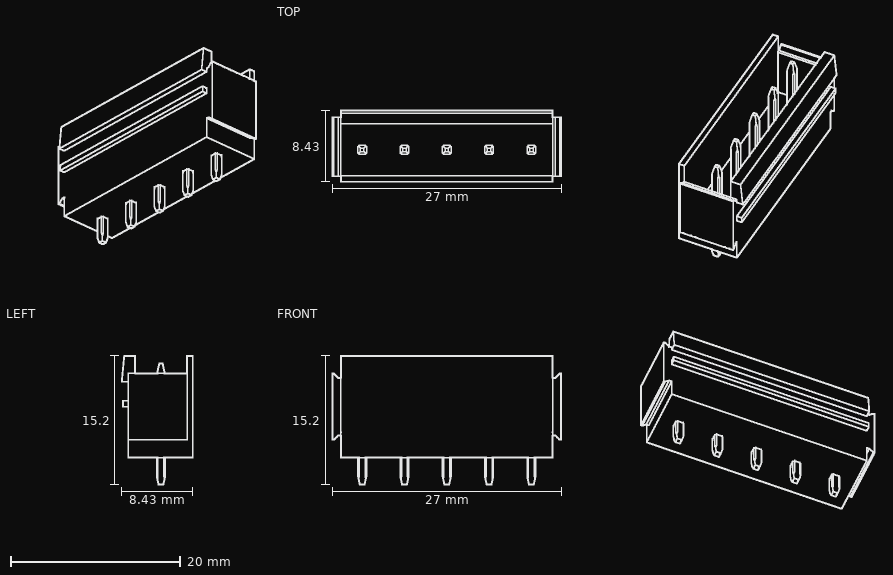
import cadquery as cq

overall_length = 27.0
housing_height = 12.02
front_to_back = 7.65

end_wall_thickness = 1.0
trough_length = overall_length - 2 * end_wall_thickness
front_face_y = -3.78
back_face_y = front_face_y + front_to_back
front_wall_thickness = 0.73
back_wall_thickness = 0.8
floor_height = 3.0

catch_depth = 0.78
catch_top_depth = 0.49
catch_height = 3.08

rib_depth = 0.65
rib_thickness = 0.73
rib_bottom_z = 6.0

end_wall_length = 7.0
end_wall_margin = 2.08
dovetail_lip = 0.15
dovetail_slope = 0.5

pin_count = 5
pin_pitch = 5.0
pin_width = 1.03
pin_edge_bevel = 0.15
pin_tail = 3.19
pin_top_z = 11.12
top_tip_length = 1.4
top_tip_width = 0.4
tail_tip_length = 1.0
tail_tip_width = 0.6


def make_trough():
    """Floor, walls, catch and rib as one constant section along X."""
    front_inner_y = front_face_y + front_wall_thickness
    back_inner_y = back_face_y - back_wall_thickness
    catch_bottom_z = housing_height - catch_height
    rib_top_z = rib_bottom_z + rib_thickness
    section = [
        (front_face_y, 0),
        (back_face_y, 0),
        (back_face_y, rib_bottom_z),
        (back_face_y + rib_depth, rib_bottom_z),
        (back_face_y + rib_depth, rib_top_z),
        (back_face_y, rib_top_z),
        (back_face_y, catch_bottom_z),
        (back_face_y + catch_depth, catch_bottom_z),
        (back_face_y + catch_top_depth, housing_height),
        (back_inner_y, housing_height),
        (back_inner_y, floor_height),
        (front_inner_y, floor_height),
        (front_inner_y, housing_height),
        (front_face_y, housing_height),
    ]
    return cq.Workplane("YZ").polyline(section).close().extrude(trough_length / 2, both=True)


def make_end_wall(side):
    """Dovetail wall closing one end of the trough; side is -1 or +1 along X."""
    inner_x = side * trough_length / 2
    outer_x = side * overall_length / 2
    lip_x = outer_x - side * dovetail_lip
    neck_x = lip_x - side * dovetail_slope
    lip_bottom_z = end_wall_margin
    lip_top_z = housing_height - end_wall_margin
    neck_bottom_z = lip_bottom_z + dovetail_slope
    neck_top_z = lip_top_z - dovetail_slope
    profile = [
        (inner_x, neck_bottom_z),
        (neck_x, neck_bottom_z),
        (lip_x, lip_bottom_z),
        (outer_x, lip_bottom_z),
        (outer_x, lip_top_z),
        (lip_x, lip_top_z),
        (neck_x, neck_top_z),
        (inner_x, neck_top_z),
    ]
    back_plane = cq.Workplane("XZ", origin=(0, back_face_y, 0))
    return back_plane.polyline(profile).close().extrude(end_wall_length)


def make_tip(base_z, end_z, end_width):
    """Pyramid tapering from the full pin width at base_z to end_width at end_z."""
    return (
        cq.Workplane("XY", origin=(0, 0, base_z))
        .rect(pin_width, pin_width)
        .workplane(offset=end_z - base_z)
        .rect(end_width, end_width)
        .loft()
    )


def make_pin(x):
    """One pin, with its axis at the given X."""
    tail_base_z = tail_tip_length - pin_tail
    top_base_z = pin_top_z - top_tip_length
    shank = (
        cq.Workplane("XY", origin=(0, 0, tail_base_z))
        .rect(pin_width, pin_width)
        .extrude(top_base_z - tail_base_z)
    )
    top_tip = make_tip(top_base_z, pin_top_z, top_tip_width)
    tail_tip = make_tip(tail_base_z, -pin_tail, tail_tip_width)
    bevelled_bar = (
        cq.Workplane("XY", origin=(0, 0, -pin_tail))
        .rect(pin_width, pin_width)
        .extrude(pin_top_z + pin_tail)
        .edges("|Z")
        .chamfer(pin_edge_bevel)
    )
    pin = shank.union(top_tip).union(tail_tip).intersect(bevelled_bar)
    return pin.translate((x, 0, 0))


pins = []
for index in range(pin_count):
    pin_x = (index - (pin_count - 1) / 2) * pin_pitch
    pins.append(make_pin(pin_x))

housing = make_trough()
for end_side in (-1, 1):
    housing = housing.union(make_end_wall(end_side))
for pin in pins:
    housing = housing.cut(pin)

result = cq.Compound.makeCompound([housing.solids().val(), *[pin.solids().val() for pin in pins]])